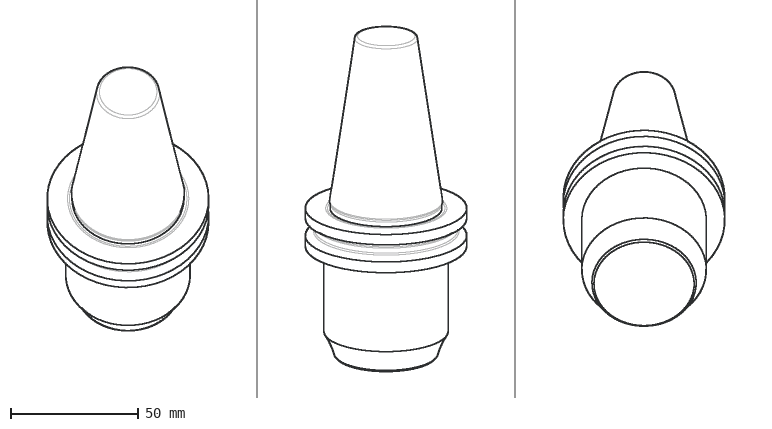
import cadquery as cq
import math

gauge_diameter = 44.45
gauge_radius = gauge_diameter / 2
taper_length = 68.4
taper_slope = 7 / 24 / 2
tip_fillet = 1.1

gauge_z = 64.5
tip_z = gauge_z + taper_length
tip_radius = gauge_radius - taper_length * taper_slope

land_height = 0.5
neck_cone_height = 0.8
neck_relief = 0.2
neck_radius = gauge_radius - neck_relief

flange_diameter = 63.55
flange_radius = flange_diameter / 2
flange_top_drop = 3.2
flange_bottom_drop = 19.1
flange_top_z = gauge_z - flange_top_drop
flange_bottom_z = gauge_z - flange_bottom_drop

recess_outer_radius = 23.85
recess_floor_radius = 23.1
recess_depth = 0.1
recess_floor_z = flange_top_z - recess_depth

groove_floor_radius = 28.2
groove_drop = 11.05
groove_center_z = gauge_z - groove_drop
groove_mouth_width = 7.1
groove_flank_angle = math.radians(30)
groove_fillet = 0.8
groove_depth = flange_radius - groove_floor_radius
groove_floor_width = groove_mouth_width - 2 * groove_depth * math.tan(groove_flank_angle)

body_radius = 24.5
body_bottom_z = 10.0
nose_radius = 20.5
nose_chamfer = 0.8
nose_arc_sagitta = 0.4


def revolve_profile(profile):
    """Turn a closed profile in the XZ plane, with x as radius, about the Z axis."""
    return profile.close().revolve(360, (0, 0, 0), (0, 1, 0))


def make_shank():
    """Taper with a rounded tip, a short land and a cone down to a slimmer neck."""
    land_bottom_z = gauge_z - land_height
    cone_bottom_z = land_bottom_z - neck_cone_height
    shank = revolve_profile(
        cq.Workplane("XZ")
        .moveTo(0, flange_bottom_z)
        .lineTo(neck_radius, flange_bottom_z)
        .lineTo(neck_radius, cone_bottom_z)
        .lineTo(gauge_radius, land_bottom_z)
        .lineTo(gauge_radius, gauge_z)
        .lineTo(tip_radius, tip_z)
        .lineTo(0, tip_z)
    )
    return shank.faces(">Z").edges().fillet(tip_fillet)


def make_flange():
    """Disc with a V groove around its rim and a ring recess in its upper face."""
    flange = (
        cq.Workplane("XY", origin=(0, 0, flange_bottom_z))
        .circle(flange_radius)
        .extrude(flange_top_z - flange_bottom_z)
    )
    recess = revolve_profile(
        cq.Workplane("XZ")
        .moveTo(0, recess_floor_z)
        .lineTo(recess_floor_radius, recess_floor_z)
        .lineTo(recess_outer_radius, flange_top_z)
        .lineTo(0, flange_top_z)
    )
    return flange.cut(recess).cut(make_groove())


def make_groove():
    """Ring of V groove section, with rounded corners at its flat floor."""
    groove = revolve_profile(
        cq.Workplane("XZ")
        .moveTo(groove_floor_radius, groove_center_z - groove_floor_width / 2)
        .lineTo(flange_radius, groove_center_z - groove_mouth_width / 2)
        .lineTo(flange_radius, groove_center_z + groove_mouth_width / 2)
        .lineTo(groove_floor_radius, groove_center_z + groove_floor_width / 2)
    )
    floor_edges = cq.selectors.RadiusNthSelector(0)
    return groove.edges("%CIRCLE").edges(floor_edges).fillet(groove_fillet)


def make_body():
    """Cylinder below the flange, narrowing along a concave arc to a chamfered nose."""
    chord_drop = body_bottom_z - nose_chamfer
    chord_shrink = body_radius - nose_radius
    chord = math.hypot(chord_drop, chord_shrink)
    arc_mid_radius = (body_radius + nose_radius) / 2 - nose_arc_sagitta * chord_drop / chord
    arc_mid_z = (body_bottom_z + nose_chamfer) / 2 + nose_arc_sagitta * chord_shrink / chord
    return revolve_profile(
        cq.Workplane("XZ")
        .moveTo(0, 0)
        .lineTo(nose_radius - nose_chamfer, 0)
        .lineTo(nose_radius, nose_chamfer)
        .threePointArc((arc_mid_radius, arc_mid_z), (body_radius, body_bottom_z))
        .lineTo(body_radius, flange_bottom_z)
        .lineTo(0, flange_bottom_z)
    )


result = make_flange().union(make_shank()).union(make_body())